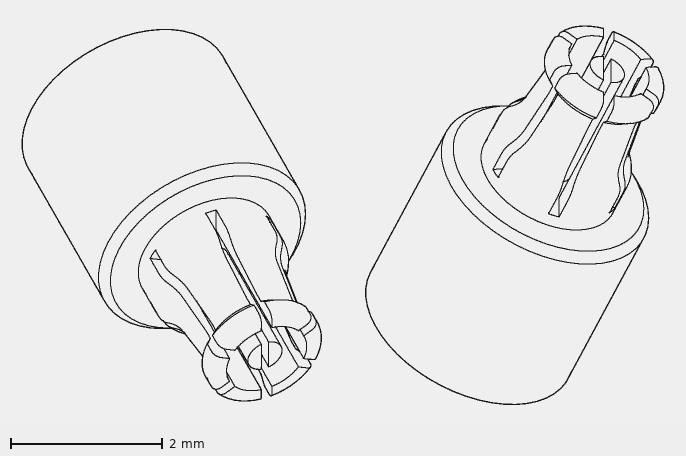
import cadquery as cq

LENGTH = 4.83

BARREL_DIAMETER = 2.97
BARREL_RADIUS = BARREL_DIAMETER / 2
BARREL_END = 2.74
BARREL_CHAMFER = 0.12

MOUTH_RADIUS = 1.34
MOUTH_CHAMFER = 0.125
ENTRY_RADIUS = MOUTH_RADIUS - MOUTH_CHAMFER
ENTRY_DEPTH = 0.53
TAPER_END = 1.285
TAPER_END_RADIUS = 0.76
THROAT_RADIUS = 0.725
THROAT_START = 1.5
SOCKET_DEPTH = 2.175

PIN_RADIUS = 0.115
PIN_TIP = 1.45

NECK_RADIUS = 0.965
NECK_END = 3.22
SHOULDER_END = 3.385
SHOULDER_END_RADIUS = 0.915
SWEEP_START = 3.43
SWEEP_START_RADIUS = 0.88
SWEEP_END = 3.685
SWEEP_END_RADIUS = 0.782
WAIST_START = 4.32
WAIST_END = 4.455
WAIST_RADIUS = 0.71
COLLAR_START = 4.575
COLLAR_RADIUS = 0.82
COLLAR_ROUND = 0.105
FINGER_BORE_RADIUS = 0.575

SLOT_COUNT = 6
SLOT_WIDTH = 0.15
SLOT_START = 2.92

CONTACT_RADIUS = 0.245
CONTACT_END = 4.77
CONTACT_SLOT_WIDTH = 0.105
CONTACT_SLOT_START = 3.88


def turn(profile):
    """Revolve a closed (x, radius) profile about the X axis."""
    return profile.close().revolve(360, (0, 0, 0), (1, 0, 0))


def rod(radius, start, end):
    """Solid cylinder on the X axis."""
    return cq.Workplane("YZ").workplane(offset=start).circle(radius).extrude(end - start)


def slot_blade(width, start, end, reach):
    """Blade in the XZ plane, from the axis out to +Z."""
    corner = cq.Workplane("XY", origin=(start, 0, 0))
    return corner.box(end - start, width, reach, centered=(False, True, False))


def outer_body():
    profile = (
        cq.Workplane("XY")
        .lineTo(0, BARREL_RADIUS)
        .lineTo(BARREL_END - BARREL_CHAMFER, BARREL_RADIUS)
        .lineTo(BARREL_END, BARREL_RADIUS - BARREL_CHAMFER)
        .lineTo(BARREL_END, NECK_RADIUS)
        .lineTo(NECK_END, NECK_RADIUS)
        .tangentArcPoint((SHOULDER_END, SHOULDER_END_RADIUS), relative=False)
        .lineTo(SWEEP_START, SWEEP_START_RADIUS)
        .tangentArcPoint((SWEEP_END, SWEEP_END_RADIUS), relative=False)
        .lineTo(WAIST_START, WAIST_RADIUS)
        .lineTo(WAIST_END, WAIST_RADIUS)
        .lineTo(COLLAR_START, COLLAR_RADIUS)
        .lineTo(LENGTH - COLLAR_ROUND, COLLAR_RADIUS)
        .tangentArcPoint((LENGTH, COLLAR_RADIUS - COLLAR_ROUND), relative=False)
        .lineTo(LENGTH, 0)
    )
    return turn(profile)


def socket():
    profile = (
        cq.Workplane("XY")
        .lineTo(SOCKET_DEPTH, 0)
        .lineTo(SOCKET_DEPTH, THROAT_RADIUS)
        .lineTo(THROAT_START, THROAT_RADIUS)
        .tangentArcPoint((TAPER_END, TAPER_END_RADIUS), relative=False)
        .lineTo(ENTRY_DEPTH, ENTRY_RADIUS)
        .lineTo(MOUTH_CHAMFER, ENTRY_RADIUS)
        .lineTo(0, MOUTH_RADIUS)
    )
    return turn(profile)


def pin():
    dome = cq.Workplane("XY").sphere(PIN_RADIUS).translate((PIN_TIP + PIN_RADIUS, 0, 0))
    return rod(PIN_RADIUS, PIN_TIP + PIN_RADIUS, SOCKET_DEPTH).union(dome)


def finger_slots():
    blade = slot_blade(SLOT_WIDTH, SLOT_START, LENGTH, BARREL_RADIUS)
    slots = blade
    for index in range(1, SLOT_COUNT):
        slots = slots.union(blade.rotate((0, 0, 0), (1, 0, 0), index * 360 / SLOT_COUNT))
    return slots


def contact():
    half_slot = slot_blade(CONTACT_SLOT_WIDTH, CONTACT_SLOT_START, CONTACT_END, CONTACT_RADIUS)
    split = half_slot.union(half_slot.mirror("XY"))
    return rod(CONTACT_RADIUS, SLOT_START, CONTACT_END).cut(split)


result = (
    outer_body()
    .cut(socket())
    .cut(rod(FINGER_BORE_RADIUS, SLOT_START, LENGTH))
    .cut(finger_slots())
    .union(pin())
    .union(contact())
)